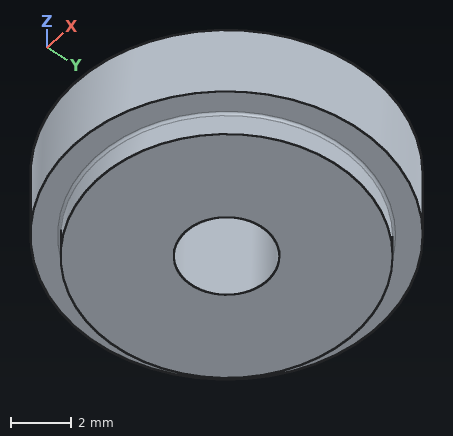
import cadquery as cq

disc_diameter = 13.0
spigot_diameter = 11.0
bore_diameter = 3.5
total_height = 4.0
spigot_height = 1.0
root_fillet = 0.1

disc_height = total_height - spigot_height

spigot = cq.Workplane("XY").circle(spigot_diameter / 2).extrude(spigot_height)
disc = (
    cq.Workplane("XY")
    .workplane(offset=spigot_height)
    .circle(disc_diameter / 2)
    .extrude(disc_height)
)
body = spigot.union(disc)

body = body.edges(cq.selectors.RadiusNthSelector(0)).edges(">Z").fillet(root_fillet)

result = body.faces(">Z").workplane(origin=(0, 0, total_height)).circle(bore_diameter / 2).cutThruAll()